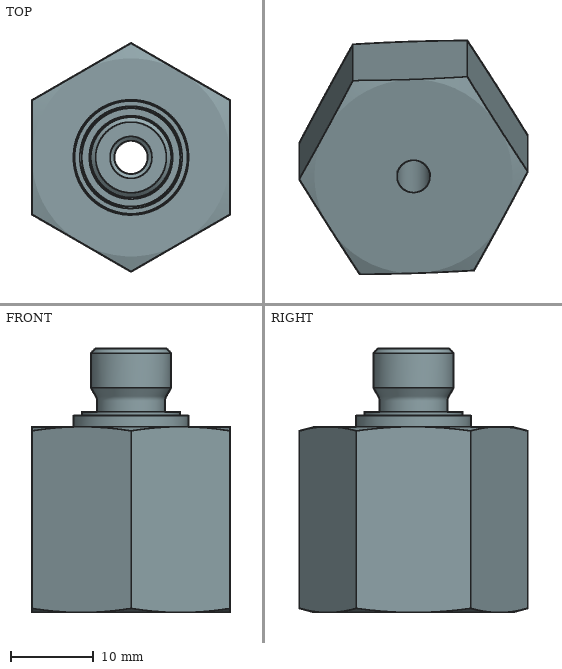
import cadquery as cq
import math

TOTAL_HEIGHT = 32.0
HEX_HEIGHT = 22.5

HEX_FLATS = 24.0
HEX_CHAMFER_ANGLE = 15.0

COLLAR_DIAMETER = 14.0
COLLAR_HEIGHT = 1.4
COLLAR_CHAMFER_WIDTH = 0.15
COLLAR_CHAMFER_HEIGHT = 0.1
GROOVE_DIAMETER = 12.0
GROOVE_MOUTH_DIAMETER = 12.4

STUD_DIAMETER = 9.73
STUD_CHAMFER = 0.58
STUD_LENGTH = 4.8
NECK_DIAMETER = 8.3
UNDERCUT_ANGLE = 30.0
UNDERCUT_RADIUS = 1.0

BORE_DIAMETER = 4.0
COUNTERSINK_WIDTH = 0.55
COUNTERSINK_DEPTH = 0.45

RING_DIAMETER = 11.9
RING_MOUTH_DIAMETER = 10.1
RING_PROJECTION = 0.4
RING_SLOPE_ANGLE = 30.0

collar_top = HEX_HEIGHT + COLLAR_HEIGHT
ring_top = collar_top + RING_PROJECTION
stud_bottom = TOTAL_HEIGHT - STUD_LENGTH
hex_corner_radius = HEX_FLATS / 2 / math.cos(math.pi / 6)


def revolve_profile(sketch):
    """Turn a closed (radius, height) profile about the Z axis."""
    return sketch.close().revolve(360, (0, 0, 0), (0, 1, 0))


def make_hexagon():
    """Hexagon with two flats facing X and its corners turned off at both ends."""
    prism = (
        cq.Workplane("XY")
        .polygon(6, 2 * hex_corner_radius)
        .extrude(HEX_HEIGHT)
        .rotate((0, 0, 0), (0, 0, 1), 30)
    )
    flat_radius = HEX_FLATS / 2
    drop = (hex_corner_radius - flat_radius) * math.tan(math.radians(HEX_CHAMFER_ANGLE))
    turned_blank = revolve_profile(
        cq.Workplane("XZ")
        .moveTo(0, 0)
        .lineTo(flat_radius, 0)
        .lineTo(hex_corner_radius, drop)
        .lineTo(hex_corner_radius, HEX_HEIGHT - drop)
        .lineTo(flat_radius, HEX_HEIGHT)
        .lineTo(0, HEX_HEIGHT)
    )
    return prism.intersect(turned_blank)


def make_collar():
    """Collar with a chamfered rim and a flared groove for the sealing ring."""
    collar = (
        cq.Workplane("XY", origin=(0, 0, HEX_HEIGHT))
        .circle(COLLAR_DIAMETER / 2)
        .extrude(COLLAR_HEIGHT)
        .faces(">Z")
        .chamfer(COLLAR_CHAMFER_HEIGHT, COLLAR_CHAMFER_WIDTH)
    )
    groove_radius = GROOVE_DIAMETER / 2
    mouth_radius = GROOVE_MOUTH_DIAMETER / 2
    groove = revolve_profile(
        cq.Workplane("XZ")
        .moveTo(0, HEX_HEIGHT)
        .lineTo(groove_radius, HEX_HEIGHT)
        .lineTo(groove_radius, collar_top - (mouth_radius - groove_radius))
        .lineTo(mouth_radius, collar_top)
        .lineTo(0, collar_top)
    )
    return collar.cut(groove)


def make_stud():
    """Stud with a chamfered tip, tapering through a fillet into its neck."""
    stud_radius = STUD_DIAMETER / 2
    neck_radius = NECK_DIAMETER / 2
    slope = math.radians(UNDERCUT_ANGLE)
    arc_center_radius = neck_radius + UNDERCUT_RADIUS
    slope_end_radius = arc_center_radius - UNDERCUT_RADIUS * math.cos(slope)
    slope_end = stud_bottom - (stud_radius - slope_end_radius) / math.tan(slope)
    neck_end = slope_end - UNDERCUT_RADIUS * math.sin(slope)
    arc_middle = (
        arc_center_radius - UNDERCUT_RADIUS * math.cos(slope / 2),
        neck_end + UNDERCUT_RADIUS * math.sin(slope / 2),
    )
    return revolve_profile(
        cq.Workplane("XZ")
        .moveTo(0, HEX_HEIGHT)
        .lineTo(neck_radius, HEX_HEIGHT)
        .lineTo(neck_radius, neck_end)
        .threePointArc(arc_middle, (slope_end_radius, slope_end))
        .lineTo(stud_radius, stud_bottom)
        .lineTo(stud_radius, TOTAL_HEIGHT - STUD_CHAMFER)
        .lineTo(stud_radius - STUD_CHAMFER, TOTAL_HEIGHT)
        .lineTo(0, TOTAL_HEIGHT)
    )


def make_bore():
    """Through bore with a countersunk upper end."""
    bore_radius = BORE_DIAMETER / 2
    return revolve_profile(
        cq.Workplane("XZ")
        .moveTo(0, 0)
        .lineTo(bore_radius, 0)
        .lineTo(bore_radius, TOTAL_HEIGHT - COUNTERSINK_DEPTH)
        .lineTo(bore_radius + COUNTERSINK_WIDTH, TOTAL_HEIGHT)
        .lineTo(0, TOTAL_HEIGHT)
    )


def make_fitting():
    return make_hexagon().union(make_collar()).union(make_stud()).cut(make_bore())


def make_sealing_ring():
    """Ring on the groove floor, its inside sloping down to the neck."""
    neck_radius = NECK_DIAMETER / 2
    mouth_radius = RING_MOUTH_DIAMETER / 2
    slope_drop = (mouth_radius - neck_radius) * math.tan(math.radians(RING_SLOPE_ANGLE))
    return revolve_profile(
        cq.Workplane("XZ")
        .moveTo(neck_radius, HEX_HEIGHT)
        .lineTo(RING_DIAMETER / 2, HEX_HEIGHT)
        .lineTo(RING_DIAMETER / 2, ring_top)
        .lineTo(mouth_radius, ring_top)
        .lineTo(neck_radius, ring_top - slope_drop)
    )


fitting = make_fitting()
sealing_ring = make_sealing_ring()

result = cq.Compound.makeCompound([fitting.val(), sealing_ring.val()])